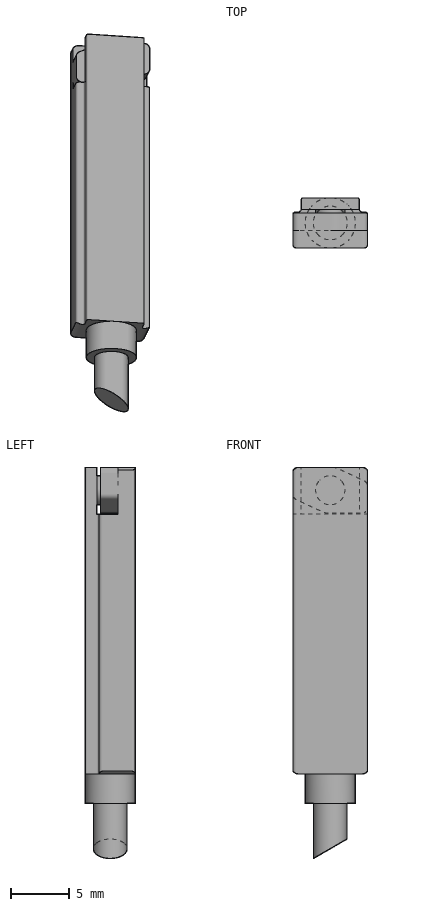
import cadquery as cq
import math


body_width = 6.4
body_length = 26.25
depth = 4.3
front_y = -depth / 2
back_y = depth / 2
rib_width = 5.0
rib_thickness = 1.0
rib_front_y = back_y - rib_thickness
body_edge_radius = 0.3
rib_edge_radius = 0.2
rib_root_radius = 0.2
shoulder_y = rib_front_y - rib_root_radius
end_round_width = 0.5
end_round_height = 0.25

front_plate_thickness = 1.5
notch_front_y = front_y + front_plate_thickness
notch_depth = 4.0

rocker_thickness = 1.5
rocker_height = 3.93
rocker_angle = math.radians(25)
rocker_flat_end_x = 0.05
rocker_ridge_radius = 1.65
rocker_corner_radius = 0.5
rocker_center_z = body_length - rocker_height / 2
pin_diameter = 2.5

collar_diameter = 4.3
collar_length = 2.5
nib_diameter = 2.9
nib_length = 4.73
nib_cut_angle = math.radians(30)


def extrude_along_y(profile, y_start, y_end):
    """Extrude a profile drawn on the XZ plane from y_start to y_end."""
    solid = profile.extrude(-(y_end - y_start))
    return solid.translate((0, y_start, 0))


def make_bar():
    """Bar with rounded long edges and eased corners at both ends."""
    section_depth = shoulder_y - front_y
    bar = (
        cq.Workplane("XY")
        .center(0, (front_y + shoulder_y) / 2)
        .rect(body_width, section_depth)
        .extrude(body_length)
        .edges("|Z")
        .fillet(body_edge_radius)
    )
    half_width = body_width / 2
    flat_half_width = half_width - end_round_width
    side_top_z = body_length - end_round_height
    end_profile = (
        cq.Workplane("XZ")
        .moveTo(0, body_length)
        .lineTo(flat_half_width, body_length)
        .tangentArcPoint((half_width, side_top_z), relative=False)
        .lineTo(half_width, body_length / 2)
        .lineTo(0, body_length / 2)
        .close()
    )
    quarter = extrude_along_y(end_profile, front_y, shoulder_y)
    upper_half = quarter.union(quarter.mirror("YZ"))
    envelope = upper_half.union(upper_half.mirror("XY", (0, 0, body_length / 2)))
    return bar.intersect(envelope)


def make_rib():
    """Back rib with rounded outer edges and hollow fillets at its root."""
    half_width = rib_width / 2
    root_half_width = half_width + rib_root_radius
    rounding_start_y = back_y - rib_edge_radius
    flat_half_width = half_width - rib_edge_radius
    return (
        cq.Workplane("XY")
        .moveTo(-root_half_width, shoulder_y)
        .lineTo(root_half_width, shoulder_y)
        .radiusArc((half_width, rib_front_y), rib_root_radius)
        .lineTo(half_width, rounding_start_y)
        .radiusArc((flat_half_width, back_y), -rib_edge_radius)
        .lineTo(-flat_half_width, back_y)
        .radiusArc((-half_width, rounding_start_y), -rib_edge_radius)
        .lineTo(-half_width, rib_front_y)
        .radiusArc((-root_half_width, shoulder_y), rib_root_radius)
        .close()
        .extrude(body_length)
    )


def make_notch():
    """Slot across the full body width, from the front plate to the rib."""
    floor_z = body_length - notch_depth
    middle_y = (notch_front_y + rib_front_y) / 2
    return (
        cq.Workplane("XY", origin=(0, middle_y, floor_z))
        .rect(body_width, rib_front_y - notch_front_y)
        .extrude(notch_depth)
    )


def make_rocker():
    """Rocker that looks the same after half a turn about its pin."""
    half_width = body_width / 2
    half_height = rocker_height / 2
    ridge_x = rocker_flat_end_x + rocker_ridge_radius * math.tan(rocker_angle / 2)
    sloped_end_z = half_height - (half_width - ridge_x) * math.tan(rocker_angle)
    outline = [
        (-half_width, half_height),
        (ridge_x, half_height),
        (half_width, sloped_end_z),
        (half_width, -half_height),
        (-ridge_x, -half_height),
        (-half_width, -sloped_end_z),
    ]
    profile = cq.Workplane("XZ").polyline(outline).close()
    rocker_back_y = notch_front_y + rocker_thickness
    rocker = extrude_along_y(profile, notch_front_y, rocker_back_y)
    rocker = rocker.faces("<X or >X").edges("|Y").fillet(rocker_corner_radius)
    middle_y = (notch_front_y + rocker_back_y) / 2
    for side in (-1, 1):
        ridge_point = (side * ridge_x, middle_y, side * half_height)
        ridge = cq.selectors.NearestToPointSelector(ridge_point)
        rocker = rocker.edges(ridge).fillet(rocker_ridge_radius)
    return rocker.translate((0, 0, rocker_center_z))


def make_pin():
    pin = cq.Workplane("XZ").center(0, rocker_center_z).circle(pin_diameter / 2)
    return extrude_along_y(pin, notch_front_y, rib_front_y)


def make_collar():
    return cq.Workplane("XY").circle(collar_diameter / 2).extrude(-collar_length)


def make_nib():
    """Round nib whose end is cut by a plane rising toward +X."""
    radius = nib_diameter / 2
    tip_z = -collar_length - nib_length
    short_side_z = tip_z + nib_diameter * math.tan(nib_cut_angle)
    side_outline = (
        cq.Workplane("XZ")
        .moveTo(-radius, -collar_length)
        .lineTo(radius, -collar_length)
        .lineTo(radius, short_side_z)
        .lineTo(-radius, tip_z)
        .close()
    )
    prism = extrude_along_y(side_outline, -radius, radius)
    rod = cq.Workplane("XY").workplane(offset=tip_z).circle(radius).extrude(nib_length)
    return rod.intersect(prism)


body = make_bar().union(make_rib()).cut(make_notch())
result = body
for piece in (make_rocker(), make_pin(), make_collar(), make_nib()):
    result = result.union(piece, clean=False)